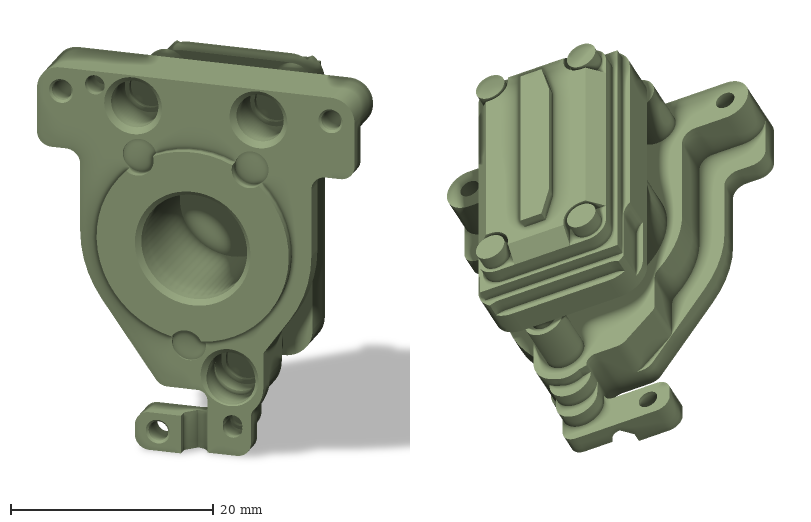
import cadquery as cq
import math


PLATE_HALF_WIDTH = 16.5
PLATE_TOP = 17.0
PLATE_BOTTOM = -22.0
FRONT_LAYER_DEPTH = 2.0
PLATE_DEPTH = 6.0
FRONT_BODY_RADIUS = 12.0
REAR_BODY_RADIUS = 9.3
EAR_RADIUS = 2.4
FRONT_EAR_BOTTOM = 8.5
REAR_EAR_BOTTOM = 12.0
SMALL_RADIUS = 1.5
SLOPE_START_Z = -7.0
SLOPE_END_Z = -15.5
SLOPE_START_X = math.sqrt(FRONT_BODY_RADIUS**2 - SLOPE_START_Z**2)
SLOPE_RUN = -SLOPE_START_Z / SLOPE_START_X
REAR_WALL_X = 6.28
REAR_WALL_END_Z = -11.9

SCREW_X = 6.5
SCREW_Z = 13.8
BOSS_X = 3.5
BOSS_RADIUS = 3.5
FRONT_BOSS_Z = -14.5
BOSS_SIDE = BOSS_X + BOSS_RADIUS
SCREW_STATIONS = [(-SCREW_X, SCREW_Z), (SCREW_X, SCREW_Z), (BOSS_X, -SCREW_Z)]
SCREW_HOLE_RADIUS = 2.45
SCREW_HOLE_DEPTH = 5.0
LOWER_MOUTH_RADIUS = 2.55
LOWER_MOUTH_DEPTH = 3.0
SCREW_MOUTH = 0.55
SCREW_TIP_RADIUS = 2.0
SCREW_TIP_DEPTH = 0.5

LEG_LEFT = 1.2
LEG_RIGHT = 5.75
LEG_STEPS = [(3.5, -20.48), (5.0, -18.95), (PLATE_DEPTH, -17.45)]
FOOT_LEFT = -6.0
FOOT_TOP = -18.0
FOOT_CORNERS = [(FOOT_LEFT, FOOT_TOP), (FOOT_LEFT, PLATE_BOTTOM)]
FOOT_STEP_X = -1.2
FOOT_FRONT = -1.0
SLOT_RADIUS = 1.0
SLOT_WALL_END_Z = -16.7
CHANNEL_FLOOR_X = -0.1
CHANNEL_DEPTH = CHANNEL_FLOOR_X - FOOT_STEP_X

EAR_HOLE = (14.0, 14.5)
FOOT_HOLE = (-3.63, -19.95)
BOLT_RADIUS = 1.0
BOLT_CHAMFER = 0.25
PIN_HOLE = (-10.5, 15.55)
LEG_HOLE = (3.82, -18.75)
LOWER_HOLE_SHIFT = 0.35
LEG_HOLE_DEPTH = 2.5
PIN_HOLE_DEPTH = 3.0

FLANGE_RADIUS = 10.0
FLANGE_FRONT = -1.0
RECESSES = [(-5.8, 8.6), (5.8, 8.6), (-0.7, -10.7)]
RECESS_RADIUS = 1.75
RECESS_FLOOR = 0.2
BORE_CENTER = (0, -0.2)
BORE_RADIUS = 5.5
BORE_CHAMFER = 0.5

BARREL_RADIUS = 7.65
STANDOFF_RADIUS = 2.05
STANDOFF_END = 11.0
NECK_RADIUS = 1.3
HOUSING_START = 12.0
HOUSING_STEP = 14.5
HOUSING_END = 16.0
HOUSING_HALF_WIDTH = 8.3
HOUSING_HALF_HEIGHT = 15.52
RECESS_FLOOR_Z = 14.65
RECESS_HALF_WIDTH = 7.95
CUTTER_RADIUS = 1.95
HOUSING_RADIUS = 3.0
POCKET_HALF_WIDTH = 4.45
POCKET_FLOOR_Z = 12.9
POCKET_START = 15.0
NOTCH_START = 13.0
NOTCH_DEPTH = 0.7
NOTCH_TOP = -6.63
COVER_END = 17.2
COVER_HALF_WIDTH = 7.53
COVER_HALF_HEIGHT = 14.0
CAP_END = 20.25
CAP_HALF_WIDTH = 7.0
CAP_HALF_HEIGHT = 13.5
CAP_RADIUS = 2.0
CAP_CHAMFER = 1.52
HEAD_START = CAP_END - CAP_CHAMFER
HEAD_RADIUS = 1.55
HEAD_POCKET_RADIUS = 1.95
HEAD_X = CAP_HALF_WIDTH - CAP_RADIUS
HEAD_Z = CAP_HALF_HEIGHT - CAP_RADIUS
BAR_END = 21.2
BAR_LEFT = -1.9
BAR_SHOULDER_X = -1.1
BAR_RIGHT = 1.2
BAR_HALF_HEIGHT = 10.37
BAR_SHOULDER_Z = 7.3


def plane(depth):
    """XZ workplane at the given Y."""
    return cq.Workplane("XZ", origin=(0, depth, 0))


def cylinder(center, radius, start, end):
    return plane(start).center(*center).circle(radius).extrude(start - end)


def block(x_min, x_max, start, end, z_min, z_max):
    corner = (x_min, start, z_min)
    return cq.Workplane("XY").box(x_max - x_min, end - start, z_max - z_min, centered=False).translate(corner)


def round_corners(body, corners, depth, radius):
    """Fillet the edges along Y whose middles lie at the given (x, z) corners."""
    for x, z in corners:
        nearest = cq.selectors.NearestToPointSelector((x, depth, z))
        body = body.edges("|Y").edges(nearest).fillet(radius)
    return body


def slope_x(z):
    """Half width of the sloping sides at height z."""
    return SLOPE_START_X + (z - SLOPE_START_Z) * SLOPE_RUN


def mirrored(corners):
    return corners + [(-x, z) for x, z in corners]


def arc_point(radius, angle):
    """Point on the body circle, at an angle below the +X direction."""
    return (radius * math.cos(angle), -radius * math.sin(angle))


def front_layer():
    tangent_angle = math.asin(-SLOPE_START_Z / FRONT_BODY_RADIUS)
    mid_x, mid_z = arc_point(FRONT_BODY_RADIUS, tangent_angle / 2)
    boss_leg_z = FRONT_BOSS_Z - math.sqrt(BOSS_RADIUS**2 - (LEG_RIGHT - BOSS_X) ** 2)
    boss_angle = math.atan2(FRONT_BOSS_Z - boss_leg_z, LEG_RIGHT - BOSS_X) / 2
    boss_mid = (BOSS_X + BOSS_RADIUS * math.cos(boss_angle), FRONT_BOSS_Z - BOSS_RADIUS * math.sin(boss_angle))
    side_z = SLOPE_START_Z - (SLOPE_START_X - BOSS_SIDE) / SLOPE_RUN
    body = (
        plane(0)
        .moveTo(-PLATE_HALF_WIDTH, PLATE_TOP)
        .lineTo(PLATE_HALF_WIDTH, PLATE_TOP)
        .lineTo(PLATE_HALF_WIDTH, FRONT_EAR_BOTTOM)
        .lineTo(FRONT_BODY_RADIUS, FRONT_EAR_BOTTOM)
        .lineTo(FRONT_BODY_RADIUS, 0)
        .threePointArc((mid_x, mid_z), (SLOPE_START_X, SLOPE_START_Z))
        .lineTo(BOSS_SIDE, side_z)
        .lineTo(BOSS_SIDE, FRONT_BOSS_Z)
        .threePointArc(boss_mid, (LEG_RIGHT, boss_leg_z))
        .lineTo(LEG_RIGHT, PLATE_BOTTOM)
        .lineTo(FOOT_LEFT, PLATE_BOTTOM)
        .lineTo(FOOT_LEFT, FOOT_TOP)
        .lineTo(LEG_LEFT, FOOT_TOP)
        .lineTo(LEG_LEFT, SLOPE_END_Z)
        .lineTo(-slope_x(SLOPE_END_Z), SLOPE_END_Z)
        .lineTo(-SLOPE_START_X, SLOPE_START_Z)
        .threePointArc((-mid_x, mid_z), (-FRONT_BODY_RADIUS, 0))
        .lineTo(-FRONT_BODY_RADIUS, FRONT_EAR_BOTTOM)
        .lineTo(-PLATE_HALF_WIDTH, FRONT_EAR_BOTTOM)
        .close()
        .extrude(-FRONT_LAYER_DEPTH)
    )
    middle = FRONT_LAYER_DEPTH / 2
    body = round_corners(body, mirrored([(PLATE_HALF_WIDTH, PLATE_TOP)]), middle, EAR_RADIUS)
    small_corners = mirrored([(PLATE_HALF_WIDTH, FRONT_EAR_BOTTOM), (FRONT_BODY_RADIUS, FRONT_EAR_BOTTOM)])
    small_corners += [(LEG_RIGHT, PLATE_BOTTOM), (-slope_x(SLOPE_END_Z), SLOPE_END_Z)]
    small_corners += FOOT_CORNERS
    body = round_corners(body, small_corners, middle, SMALL_RADIUS)
    slot_corners = [(LEG_LEFT, FOOT_TOP), (LEG_LEFT, SLOPE_END_Z), (LEG_RIGHT, boss_leg_z)]
    return round_corners(body, slot_corners, middle, SLOT_RADIUS)


def rear_layer():
    """Narrower outline whose lower left side is a short wall and a 45 degree slope."""
    left_angle = math.acos(REAR_WALL_X / REAR_BODY_RADIUS)
    right_angle = math.acos(BOSS_SIDE / REAR_BODY_RADIUS)
    left_x, left_z = arc_point(REAR_BODY_RADIUS, left_angle)
    left_mid_x, left_mid_z = arc_point(REAR_BODY_RADIUS, left_angle / 2)
    right_end = arc_point(REAR_BODY_RADIUS, right_angle)
    slope_end = (REAR_WALL_END_Z - SLOPE_END_Z - REAR_WALL_X, SLOPE_END_Z)
    boss_mid_offset = BOSS_RADIUS * math.sqrt(0.5)
    boss_mid = (BOSS_X + boss_mid_offset, -SCREW_Z - boss_mid_offset)
    body = (
        plane(FRONT_LAYER_DEPTH)
        .moveTo(-PLATE_HALF_WIDTH, PLATE_TOP)
        .lineTo(PLATE_HALF_WIDTH, PLATE_TOP)
        .lineTo(PLATE_HALF_WIDTH, REAR_EAR_BOTTOM)
        .lineTo(REAR_BODY_RADIUS, REAR_EAR_BOTTOM)
        .lineTo(REAR_BODY_RADIUS, 0)
        .threePointArc(arc_point(REAR_BODY_RADIUS, right_angle / 2), right_end)
        .lineTo(BOSS_SIDE, -SCREW_Z)
        .threePointArc(boss_mid, (BOSS_X, -SCREW_Z - BOSS_RADIUS))
        .lineTo(LEG_LEFT, SLOT_WALL_END_Z)
        .lineTo(LEG_LEFT, SLOPE_END_Z)
        .lineTo(*slope_end)
        .lineTo(-REAR_WALL_X, REAR_WALL_END_Z)
        .lineTo(-left_x, left_z)
        .threePointArc((-left_mid_x, left_mid_z), (-REAR_BODY_RADIUS, 0))
        .lineTo(-REAR_BODY_RADIUS, REAR_EAR_BOTTOM)
        .lineTo(-PLATE_HALF_WIDTH, REAR_EAR_BOTTOM)
        .close()
        .extrude(FRONT_LAYER_DEPTH - PLATE_DEPTH)
    )
    corners = mirrored([(REAR_BODY_RADIUS, REAR_EAR_BOTTOM)])
    corners += [(-left_x, left_z), right_end, slope_end]
    middle = (FRONT_LAYER_DEPTH + PLATE_DEPTH) / 2
    body = round_corners(body, corners, middle, SMALL_RADIUS)
    ear_corners = mirrored([(PLATE_HALF_WIDTH, PLATE_TOP), (PLATE_HALF_WIDTH, REAR_EAR_BOTTOM)])
    body = round_corners(body, ear_corners, middle, EAR_RADIUS)
    return round_corners(body, [(LEG_LEFT, SLOPE_END_Z), (-REAR_WALL_X, REAR_WALL_END_Z)], middle, SLOT_RADIUS)


def leg_steps():
    """Round-ended steps that thicken the leg towards the boss."""
    radius = (LEG_RIGHT - LEG_LEFT) / 2
    center_x = (LEG_RIGHT + LEG_LEFT) / 2
    steps = cq.Workplane("XY")
    for depth, bottom in LEG_STEPS:
        end_z = bottom + radius
        steps = steps.union(block(LEG_LEFT, LEG_RIGHT, 0, depth, end_z, -SCREW_Z))
        steps = steps.union(cylinder((center_x, end_z), radius, 0, depth))
    return steps


def foot_pad():
    """Pad that raises the foot in front of the plate face."""
    pad = block(FOOT_LEFT, FOOT_STEP_X, FOOT_FRONT, 0, PLATE_BOTTOM, FOOT_TOP)
    return round_corners(pad, FOOT_CORNERS, FOOT_FRONT / 2, SMALL_RADIUS)


def foot_channel():
    """Groove along Z: a 45 degree wall below the pad and a round rise to the leg."""
    width = LEG_LEFT - CHANNEL_FLOOR_X
    radius = (width**2 + CHANNEL_DEPTH**2) / (2 * CHANNEL_DEPTH)
    half_angle = math.asin(width / radius) / 2
    arc_mid = (
        CHANNEL_FLOOR_X + radius * math.sin(half_angle),
        CHANNEL_DEPTH - radius * (1 - math.cos(half_angle)),
    )
    return (
        cq.Workplane("XY", origin=(0, 0, PLATE_BOTTOM))
        .moveTo(FOOT_STEP_X, FOOT_FRONT)
        .lineTo(FOOT_STEP_X, 0)
        .lineTo(CHANNEL_FLOOR_X, CHANNEL_DEPTH)
        .threePointArc(arc_mid, (LEG_LEFT, 0))
        .lineTo(LEG_LEFT, FOOT_FRONT)
        .close()
        .extrude(SLOPE_END_Z - SLOT_RADIUS - PLATE_BOTTOM)
    )


def chamfered_hole(center, radius, chamfer, start, end):
    """Round hole whose mouth at the start widens in a 45 degree cone."""
    x, z = center
    cone = cq.Solid.makeCone(radius + chamfer, radius, chamfer, cq.Vector(x, start, z), cq.Vector(0, 1, 0))
    return cylinder(center, radius, start, end).union(cq.Workplane(obj=cone))


def centered_block(half_width, half_height, start, end):
    return block(-half_width, half_width, start, end, -half_height, half_height)


def flange():
    ring = cylinder((0, 0), FLANGE_RADIUS, FLANGE_FRONT, 0)
    return ring


def plate():
    body = front_layer().union(rear_layer()).union(leg_steps()).union(foot_pad()).union(flange())
    body = body.cut(foot_channel())
    for center in RECESSES:
        body = body.cut(cylinder(center, RECESS_RADIUS, FLANGE_FRONT, RECESS_FLOOR))
    ear_x, ear_z = EAR_HOLE
    for x in (-ear_x, ear_x):
        body = body.cut(chamfered_hole((x, ear_z), BOLT_RADIUS, BOLT_CHAMFER, 0, PLATE_DEPTH))
    body = body.cut(chamfered_hole(FOOT_HOLE, BOLT_RADIUS, BOLT_CHAMFER, FOOT_FRONT, FRONT_LAYER_DEPTH))
    body = body.cut(cylinder(PIN_HOLE, BOLT_RADIUS, 0, PIN_HOLE_DEPTH))
    leg_x, leg_z = LEG_HOLE
    body = body.cut(cylinder(LEG_HOLE, BOLT_RADIUS, 0, PIN_HOLE_DEPTH))
    return body.cut(cylinder((leg_x, leg_z - LOWER_HOLE_SHIFT), BOLT_RADIUS, 0, LEG_HOLE_DEPTH))


def screw_holes():
    """Blind holes with conical mouths and smaller tips; the lower one also has an offset mouth."""
    holes = cq.Workplane("XY")
    for center in SCREW_STATIONS:
        holes = holes.union(chamfered_hole(center, SCREW_HOLE_RADIUS, SCREW_MOUTH, 0, SCREW_HOLE_DEPTH))
        tip_end = SCREW_HOLE_DEPTH + SCREW_TIP_DEPTH
        holes = holes.union(cylinder(center, SCREW_TIP_RADIUS, 0, tip_end))
    lower_mouth = (BOSS_X, -SCREW_Z - LOWER_HOLE_SHIFT)
    return holes.union(cylinder(lower_mouth, LOWER_MOUTH_RADIUS, 0, LOWER_MOUTH_DEPTH))


def standoffs():
    posts = cq.Workplane("XY")
    for center in SCREW_STATIONS:
        posts = posts.union(cylinder(center, STANDOFF_RADIUS, PLATE_DEPTH, STANDOFF_END))
        posts = posts.union(cylinder(center, NECK_RADIUS, STANDOFF_END, HOUSING_START))
    return posts


def floor_pocket(half_width, start, floor_z):
    """Pocket cut down from the top of the housing, with round floor corners."""
    pocket = block(-half_width, half_width, start, HOUSING_END, floor_z, floor_z + 2 * CUTTER_RADIUS)
    return pocket.edges("|Y and <Z").fillet(CUTTER_RADIUS)


def housing():
    body = centered_block(HOUSING_HALF_WIDTH, HOUSING_HALF_HEIGHT, HOUSING_START, HOUSING_END)
    body = body.edges("|Y").fillet(HOUSING_RADIUS)
    recess = floor_pocket(RECESS_HALF_WIDTH, HOUSING_STEP, RECESS_FLOOR_Z)
    pocket = floor_pocket(POCKET_HALF_WIDTH, POCKET_START, POCKET_FLOOR_Z)
    body = body.cut(recess).cut(recess.mirror("XY")).cut(pocket)
    notch_floor_x = NOTCH_DEPTH - HOUSING_HALF_WIDTH
    notch = block(
        notch_floor_x - 2 * CUTTER_RADIUS, notch_floor_x, NOTCH_START, HOUSING_END, -HOUSING_HALF_HEIGHT, NOTCH_TOP
    )
    notch = notch.edges("|Y and >X and >Z").fillet(CUTTER_RADIUS)
    return body.cut(notch)


def head_pocket(center):
    """Corner cutout around a screw head, rounded on its inner corner and open outwards."""
    x, z = center
    inner_x = abs(x) - HEAD_POCKET_RADIUS
    inner_z = abs(z) - HEAD_POCKET_RADIUS
    pocket = block(inner_x, CAP_HALF_WIDTH, HEAD_START, CAP_END, inner_z, CAP_HALF_HEIGHT)
    pocket = pocket.edges("|Y and <X and <Z").fillet(HEAD_POCKET_RADIUS)
    if x < 0:
        pocket = pocket.mirror("YZ")
    if z < 0:
        pocket = pocket.mirror("XY")
    return pocket


def cover_and_cap():
    cover = centered_block(COVER_HALF_WIDTH, COVER_HALF_HEIGHT, HOUSING_END, COVER_END)
    cap = centered_block(CAP_HALF_WIDTH, CAP_HALF_HEIGHT, COVER_END, CAP_END)
    cap = cap.edges("|Y").fillet(CAP_RADIUS).faces(">Y").chamfer(CAP_CHAMFER)
    body = cover.union(cap)
    for center in mirrored([(HEAD_X, HEAD_Z), (HEAD_X, -HEAD_Z)]):
        head = cylinder(center, HEAD_RADIUS, HEAD_START, CAP_END)
        body = body.cut(head_pocket(center)).union(head)
    return body


def end_bar():
    return (
        plane(CAP_END)
        .moveTo(BAR_RIGHT, BAR_HALF_HEIGHT)
        .lineTo(BAR_SHOULDER_X, BAR_HALF_HEIGHT)
        .lineTo(BAR_LEFT, BAR_SHOULDER_Z)
        .lineTo(BAR_LEFT, -BAR_SHOULDER_Z)
        .lineTo(BAR_SHOULDER_X, -BAR_HALF_HEIGHT)
        .lineTo(BAR_RIGHT, -BAR_HALF_HEIGHT)
        .close()
        .extrude(CAP_END - BAR_END)
    )


barrel = cylinder((0, 0), BARREL_RADIUS, PLATE_DEPTH, HOUSING_START)
bore = chamfered_hole(BORE_CENTER, BORE_RADIUS, BORE_CHAMFER, FLANGE_FRONT, HOUSING_START)

result = plate().union(standoffs()).union(housing()).union(cover_and_cap()).union(end_bar())
result = result.union(barrel).cut(bore).cut(screw_holes())